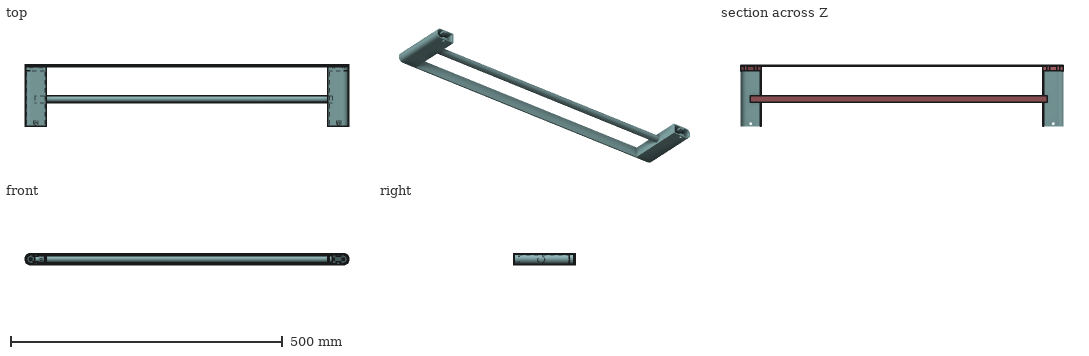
import cadquery as cq

TOTAL_LENGTH = 595.0
TOTAL_DEPTH = 113.0
HEIGHT = 20.0

BAR_THICKNESS = 3.0

ARM_WIDTH = 38.5
WALL = 2.0
INNER_SIDE_WALL = 2.5
POCKET_DEPTH = 102.0

BLOCK_WIDTH = 8.0
BLOCK_LENGTH = 10.0
BLOCK_GAP = 10.0
BLOCK_TO_CENTRE = 5.0

SET_SCREW_HOLE_DIAMETER = 5.0

ROD_DIAMETER = 13.0
ROD_Y = 50.0
ROD_LEFT_END = -280.0
ROD_RIGHT_END = 267.5

SCREW_DIAMETER = 4.3
SCREW_SPACING = 18.5
SCREW_BAR_ENGAGEMENT = 1.5

END_RADIUS = HEIGHT / 2
END_CENTRE_X = TOTAL_LENGTH / 2 - END_RADIUS
ARM_INNER_X = TOTAL_LENGTH / 2 - ARM_WIDTH
ARM_LENGTH = TOTAL_DEPTH - BAR_THICKNESS
BLOCK_X = END_CENTRE_X - BLOCK_TO_CENTRE - BLOCK_WIDTH / 2
INNER_RADIUS = END_RADIUS - WALL
SCREW_LENGTH = ARM_LENGTH - POCKET_DEPTH + SCREW_BAR_ENGAGEMENT
SIDES = (-1, 1)


def front_plane(y):
    """Sketch plane at depth y: local x is X, local y is Z, and a negative extrusion runs toward +Y."""
    return cq.Workplane("XZ", origin=(0, y, 0))


def arm_section(y, side, radius, inner_x):
    """Outline of an arm or its pocket: square on the inner side, rounded on the outer side."""
    centre_x = side * END_CENTRE_X
    return (
        front_plane(y)
        .moveTo(side * inner_x, radius)
        .lineTo(centre_x, radius)
        .threePointArc((centre_x + side * radius, 0), (centre_x, -radius))
        .lineTo(side * inner_x, -radius)
        .close()
    )


def make_blocks(side):
    """Blocks on the pocket's top and bottom walls, flush with the open front."""
    block_height = END_RADIUS - WALL / 2 - BLOCK_GAP / 2
    block_z = BLOCK_GAP / 2 + block_height / 2
    return (
        front_plane(0)
        .pushPoints([(side * BLOCK_X, block_z), (side * BLOCK_X, -block_z)])
        .rect(BLOCK_WIDTH, block_height)
        .extrude(-BLOCK_LENGTH)
    )


def make_set_screw_hole(side):
    """Vertical hole through the lower block and the arm's bottom wall."""
    return (
        cq.Workplane("XY", origin=(side * BLOCK_X, BLOCK_LENGTH / 2, -END_RADIUS))
        .circle(SET_SCREW_HOLE_DIAMETER / 2)
        .extrude(END_RADIUS)
    )


def make_rod():
    """Round rod along X, with both ends inside the arms' pockets."""
    return (
        cq.Workplane("YZ", origin=(ROD_LEFT_END, ROD_Y, 0))
        .circle(ROD_DIAMETER / 2)
        .extrude(ROD_RIGHT_END - ROD_LEFT_END)
    )


def make_screw(x):
    """Screw set flush in the pocket floor, reaching into the back bar."""
    return front_plane(POCKET_DEPTH).center(x, 0).circle(SCREW_DIAMETER / 2).extrude(-SCREW_LENGTH)


def make_arm(side):
    """Arm with a blind pocket open at the front, front blocks and holes for the rod and screws."""
    body = arm_section(0, side, END_RADIUS, ARM_INNER_X).extrude(-ARM_LENGTH)
    pocket = arm_section(0, side, INNER_RADIUS, ARM_INNER_X + INNER_SIDE_WALL).extrude(-POCKET_DEPTH)
    arm = body.cut(pocket).union(make_blocks(side))
    arm = arm.cut(make_set_screw_hole(side)).cut(rod)
    for screw in screws:
        arm = arm.cut(screw)
    return arm


def make_back_bar():
    """Flat bar with fully rounded ends that closes the back of both arms."""
    bar = front_plane(ARM_LENGTH).slot2D(TOTAL_LENGTH, HEIGHT).extrude(-BAR_THICKNESS)
    for screw in screws:
        bar = bar.cut(screw)
    return bar


rod = make_rod()
screws = []
for screw_side in SIDES:
    for screw_x in (END_CENTRE_X, END_CENTRE_X - SCREW_SPACING):
        screws.append(make_screw(screw_side * screw_x))
arms = [make_arm(side) for side in SIDES]
back_bar = make_back_bar()

bodies = [back_bar, rod, *arms, *screws]
result = cq.Compound.makeCompound([body.val() for body in bodies])